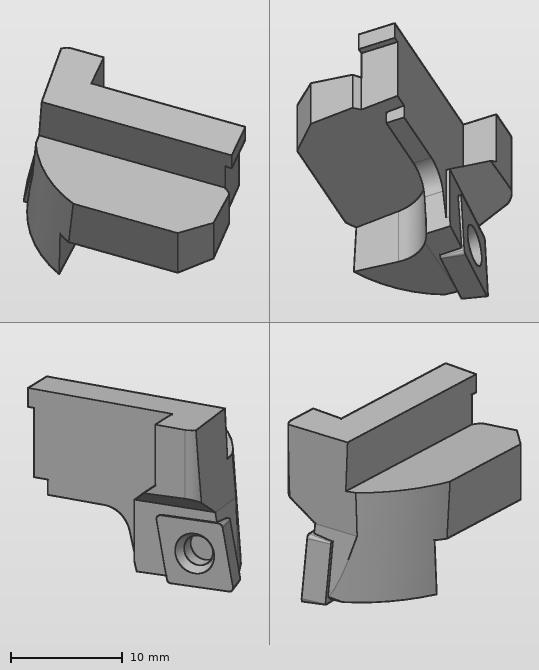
import cadquery as cq
import math



def tan_deg(angle):
    return math.tan(math.radians(angle))


def sin_deg(angle):
    return math.sin(math.radians(angle))


def cos_deg(angle):
    return math.cos(math.radians(angle))


LENGTH = 20.65
DEPTH = 14.0
HEIGHT = 16.0
REACH = 60.0

RAIL_FRONT_Y = 7.2
RAIL_BACK_Y = 10.75
BLOCK_TOP_Z = 12.22
BLOCK_TOP_DROP = 7.7
BLOCK_BOTTOM_Z = 6.7
BLOCK_BOTTOM_RISE = 5.0
END_CHAMFER = 2.5
NOTCH_TOP_Z = 14.2
NOTCH_DEPTH = 0.6

HEAD_RIGHT_X = 5.98
HEAD_WALL_FOOT_Z = 10.25
RAMP_RUN = 3.7
RAMP_DROP = 2.92
HEAD_CORNER_RADIUS = 1.4
HEAD_CORNER_X = 1.57
HEAD_UNDER_Z = 9.54
HEAD_UNDER_X = 1.75
HEAD_UNDER_SLOPE_Y = 0.63
HEAD_UNDER_SLOPE_X = -0.044

LEFT_TOP_X = 2.55
LEFT_SKEW = 4.6
LEFT_UPPER_LEAN = 3.0
LEFT_LOWER_LEAN = 9.6
LEFT_BEND_Z = 7.25
LEFT_BEVEL = 0.4

CURVE_RADIUS = 11.8
CURVE_BASE_X = 12.45
CURVE_CENTER_Y = 10.6
CURVE_LEAN = 4.5

TONGUE_BOTTOM_Z = 6.2
TONGUE_RIGHT_X = 18.64
TONGUE_FRONT_Y = 9.0
SEAT_BACK_Y = 10.2
FOOT_BOTTOM_Z = 0.58
FOOT_BOTTOM_FLAT_Y = 8.1
FOOT_BOTTOM_RISE = 6.45
FOOT_RIGHT_X = 9.44
FOOT_RIGHT_LEAN = 13.9
FOOT_FILLET = 2.6
INNER_WALL_X = 6.75
INNER_RADIUS = 4.3

INSCRIBED_CIRCLE = 6.35
INSERT_THICKNESS = 2.38
INSERT_ANGLE = 80.0
INSERT_RELIEF = 7.0
NOSE_RADIUS = 0.4
INSERT_HOLE = 2.8
COUNTERSINK = 3.8
COUNTERSINK_ANGLE = 60.0
RAKE_SKEW = 5.3
RAKE_TILT = 0.7
TIP_Y = 10.42

block_inner_top = BLOCK_TOP_Z - RAIL_FRONT_Y * tan_deg(BLOCK_TOP_DROP)
insert_edge = INSCRIBED_CIRCLE / sin_deg(INSERT_ANGLE)
nose_setback = NOSE_RADIUS / tan_deg(INSERT_ANGLE / 2) - NOSE_RADIUS
rake_normal = cq.Vector(-sin_deg(RAKE_SKEW), cos_deg(RAKE_SKEW), -tan_deg(RAKE_TILT))
rake_plane = cq.Plane(
    origin=(-nose_setback, TIP_Y, 0),
    xDir=(cos_deg(RAKE_SKEW), sin_deg(RAKE_SKEW), 0),
    normal=rake_normal.toTuple(),
)


def half_space(origin, normal):
    """Large block filling the side of a plane that its normal points to."""
    return cq.Workplane(cq.Plane(origin=origin, normal=normal)).rect(REACH, REACH).extrude(REACH)


def insert_blank():
    """Rhombic insert without its hole; the rake face lies on the rake plane."""
    lean_x = insert_edge * cos_deg(INSERT_ANGLE)
    height = INSCRIBED_CIRCLE
    outline = (
        cq.Sketch()
        .polygon([(0, 0), (insert_edge, 0), (insert_edge + lean_x, -height), (lean_x, -height), (0, 0)])
        .vertices()
        .fillet(NOSE_RADIUS)
    )
    return cq.Workplane(rake_plane).placeSketch(outline).extrude(-INSERT_THICKNESS, taper=INSERT_RELIEF)


def make_insert():
    center_x = insert_edge * (1 + cos_deg(INSERT_ANGLE)) / 2
    return (
        insert_blank()
        .copyWorkplane(cq.Workplane(rake_plane))
        .center(center_x, -INSCRIBED_CIRCLE / 2)
        .cskHole(INSERT_HOLE, COUNTERSINK, COUNTERSINK_ANGLE)
    )


def upper_body():
    """Rail, rear head and front block as one side profile along the whole length."""
    bottom_back_z = BLOCK_BOTTOM_Z + DEPTH * tan_deg(BLOCK_BOTTOM_RISE)
    profile = [
        (0, BLOCK_BOTTOM_Z),
        (0, BLOCK_TOP_Z),
        (RAIL_FRONT_Y, block_inner_top),
        (RAIL_FRONT_Y, HEIGHT),
        (DEPTH, HEIGHT),
        (DEPTH, bottom_back_z),
    ]
    return cq.Workplane("YZ").polyline(profile).close().extrude(LENGTH)


def end_corners():
    """Front and rear vertical chamfers of the block and the notch in the rail's right end."""
    front = (
        cq.Workplane("XY")
        .polyline([(LENGTH - END_CHAMFER, 0), (LENGTH, 0), (LENGTH, END_CHAMFER)])
        .close()
        .extrude(HEIGHT)
    )
    notch_x = LENGTH - NOTCH_DEPTH
    rear = (
        cq.Workplane("XY")
        .polyline([
            (LENGTH, RAIL_FRONT_Y - NOTCH_DEPTH),
            (LENGTH, DEPTH),
            (notch_x, DEPTH),
            (notch_x, RAIL_FRONT_Y),
        ])
        .close()
        .extrude(NOTCH_TOP_Z)
    )
    return front.union(rear)


def foot_and_tongue():
    """Foot below the left end, running through a fillet into the tongue under the rail."""
    joint_x = FOOT_RIGHT_X + (TONGUE_BOTTOM_Z - FOOT_BOTTOM_Z) * tan_deg(FOOT_RIGHT_LEAN)
    tangent = FOOT_FILLET * tan_deg((90 - FOOT_RIGHT_LEAN) / 2)
    fillet_start = (
        joint_x - tangent * sin_deg(FOOT_RIGHT_LEAN),
        TONGUE_BOTTOM_Z - tangent * cos_deg(FOOT_RIGHT_LEAN),
    )
    fillet_end = (joint_x + tangent, TONGUE_BOTTOM_Z)
    foot = (
        cq.Workplane("XZ")
        .moveTo(0, FOOT_BOTTOM_Z)
        .lineTo(FOOT_RIGHT_X, FOOT_BOTTOM_Z)
        .lineTo(*fillet_start)
        .radiusArc(fillet_end, FOOT_FILLET)
        .lineTo(TONGUE_RIGHT_X, TONGUE_BOTTOM_Z)
        .lineTo(TONGUE_RIGHT_X, block_inner_top)
        .lineTo(0, block_inner_top)
        .close()
        .extrude(-DEPTH)
    )
    rise_normal = (0, -sin_deg(FOOT_BOTTOM_RISE), -cos_deg(FOOT_BOTTOM_RISE))
    foot = foot.cut(half_space((0, FOOT_BOTTOM_FLAT_Y, FOOT_BOTTOM_Z), rise_normal))
    return foot.cut(inner_curve())


def inner_curve():
    """Space in front of the tongue and right of the foot, with its concave corner."""
    under_block = half_space((0, 0, BLOCK_BOTTOM_Z), (0, tan_deg(BLOCK_BOTTOM_RISE), -1))
    space = (
        cq.Workplane("XY")
        .moveTo(INNER_WALL_X, 0)
        .lineTo(INNER_WALL_X, TONGUE_FRONT_Y - INNER_RADIUS)
        .radiusArc((INNER_WALL_X + INNER_RADIUS, TONGUE_FRONT_Y), INNER_RADIUS)
        .lineTo(LENGTH, TONGUE_FRONT_Y)
        .lineTo(LENGTH, 0)
        .close()
        .extrude(HEIGHT)
    )
    return space.intersect(under_block)


def left_waste():
    """Space left of the two end faces, which meet in a horizontal line, and below the bevel."""
    skew = tan_deg(LEFT_SKEW)
    upper_slope = tan_deg(LEFT_UPPER_LEAN)
    bend_x = LEFT_TOP_X - (HEIGHT - LEFT_BEND_Z) * upper_slope
    bend = (bend_x, RAIL_FRONT_Y, LEFT_BEND_Z)
    upper = half_space(bend, (-1, -skew, upper_slope))
    lower = half_space(bend, (-1, -skew, tan_deg(LEFT_LOWER_LEAN)))
    bevel_z = FOOT_BOTTOM_Z + LEFT_BEVEL
    bevel_x = bend_x - (LEFT_BEND_Z - bevel_z) * tan_deg(LEFT_LOWER_LEAN)
    bevel = half_space((bevel_x, RAIL_FRONT_Y, bevel_z), (-1, -skew, -1))
    return upper.intersect(lower).union(bevel)


def curve_waste():
    """Space in front of the leaning cylinder, at its left half."""
    axis = cq.Plane(
        origin=(CURVE_BASE_X, CURVE_CENTER_Y, 0),
        xDir=(cos_deg(CURVE_LEAN), 0, -sin_deg(CURVE_LEAN)),
        normal=(sin_deg(CURVE_LEAN), 0, cos_deg(CURVE_LEAN)),
    )
    return (
        cq.Workplane(axis)
        .workplane(offset=-HEIGHT)
        .moveTo(-CURVE_RADIUS, 0)
        .radiusArc((0, -CURVE_RADIUS), -CURVE_RADIUS)
        .lineTo(-REACH, -CURVE_RADIUS)
        .lineTo(-REACH, 0)
        .close()
        .extrude(3 * HEIGHT)
    )


def rear_waste():
    """Space behind the rail and right of the rear head, bounded below the wall by a ramp."""
    ramp_x = HEAD_RIGHT_X + RAMP_RUN
    profile = [
        (HEAD_RIGHT_X, HEIGHT),
        (HEAD_RIGHT_X, HEAD_WALL_FOOT_Z),
        (ramp_x, HEAD_WALL_FOOT_Z - RAMP_DROP),
        (ramp_x, 0),
        (LENGTH, 0),
        (LENGTH, HEIGHT),
    ]
    return (
        cq.Workplane("XZ", origin=(0, RAIL_BACK_Y, 0))
        .polyline(profile)
        .close()
        .extrude(-DEPTH)
    )


def seat_waste():
    """Space behind the insert seat and below the rear head."""
    below = half_space(
        (HEAD_UNDER_X, DEPTH, HEAD_UNDER_Z), (HEAD_UNDER_SLOPE_X, HEAD_UNDER_SLOPE_Y, -1)
    )
    behind = half_space((0, SEAT_BACK_Y, 0), (-tan_deg(RAKE_SKEW), 1, 0))
    return below.intersect(behind)


def head_corner_waste():
    """Space outside the rounded rear left corner of the head."""
    return (
        cq.Workplane("XY")
        .moveTo(HEAD_CORNER_X, DEPTH - HEAD_CORNER_RADIUS)
        .radiusArc((HEAD_CORNER_X + HEAD_CORNER_RADIUS, DEPTH), HEAD_CORNER_RADIUS)
        .lineTo(0, DEPTH)
        .lineTo(0, DEPTH - HEAD_CORNER_RADIUS)
        .close()
        .extrude(HEIGHT)
    )


def make_holder():
    body = upper_body().union(foot_and_tongue())
    for waste in (
        end_corners(),
        left_waste(),
        curve_waste(),
        rear_waste(),
        seat_waste(),
        head_corner_waste(),
        insert_blank(),
    ):
        body = body.cut(waste)
    return body


insert = make_insert()
holder = make_holder()

result = cq.Compound.makeCompound([holder.solids().val(), insert.solids().val()])